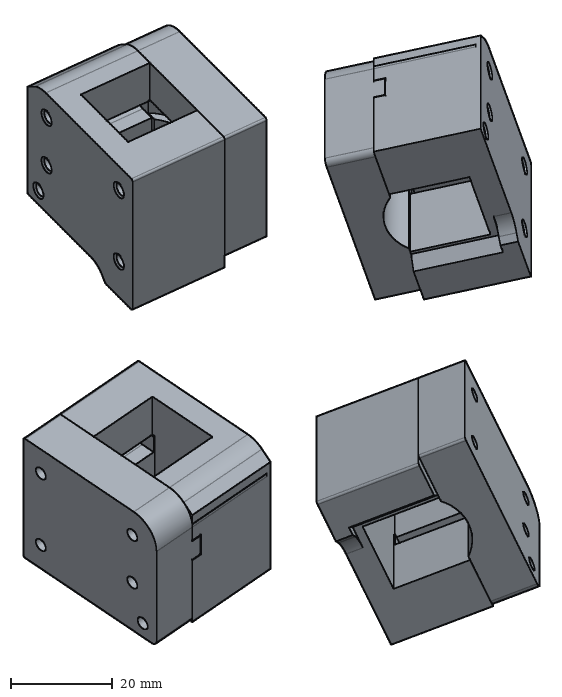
import cadquery as cq
import math

WIDTH = 36.83
DEPTH = 31.75
HEIGHT = 34.9
FRONT_DEPTH = 21.8
BASE_Z = 3.15

CORNER_R = 6.37
CORNER_FLAT_X = 2.43
RIGHT_EDGE_R = 0.48
COVER_EDGE_R = 1.3

FOOT_START_X = 22.3
FOOT_TIP_X = 27.25
FOOT_ARC_R = 4.97
FOOT_ARC_ANGLE = 50.0
FOOT_FRONT_DEPTH = 3.6
RELIEF_TOP_X = FOOT_TIP_X
RELIEF_TIP_X = 29.1

GROOVE_FRONT_Y = 1.03
GROOVE_HEIGHT = 0.65

WINDOW_LEFT_X = 10.68
WINDOW_RIGHT_X = 27.25
WINDOW_FRONT_Y = 5.45
LEDGE_WIDTH = 0.65
CHAMBER_LEFT_X = 6.25
CHAMBER_RIGHT_X = 31.67
CHAMBER_FRONT_Y = 5.8
CHAMBER_FLOOR_R = 1.85
CHAMBER_TOP_Z = 24.82
CHAMBER_FLOOR_Z = 20.77

BORE_X = (WINDOW_LEFT_X + WINDOW_RIGHT_X) / 2
BORE_Y = 15.55
COUNTERBORE_R = 10.9
BORE_R = 9.2
RECESS_TOP_Z = 24.97
COUNTERBORE_FLOOR_Z = 21.03

TAB_LENGTH = 2.3
TAB_BOTTOM_Z = 19.78
TAB_TOP_Z = 24.7
TAB_GAP = 0.15

HOLE_D = 2.75
COUNTERSINK_D = 3.57
HOLES = [(6.7, 28.5), (32.0, 28.5), (6.7, 15.85), (32.0, 9.45), (3.83, 6.85)]


def box(x0, x1, y0, y1, z0, z1):
    """Box between two opposite corners."""
    return cq.Workplane("XY").box(x1 - x0, y1 - y0, z1 - z0, centered=False).translate((x0, y0, z0))


def extrude_y(profile, y0, y1):
    """Extrude a profile, drawn in X and Z on the XZ plane, from y0 to y1."""
    return profile.extrude(-(y1 - y0)).translate((0, y0, 0))


def corner_point(angle):
    """Point of the corner rounding at an angle in radians, measured from +X."""
    return (
        CORNER_R + CORNER_R * math.cos(angle),
        HEIGHT - CORNER_R + CORNER_R * math.sin(angle),
    )


def housing_block():
    """Front block with its tangent corner flat and its foot."""
    flat_angle = math.acos((CORNER_FLAT_X - CORNER_R) / CORNER_R)
    flat_top = corner_point(flat_angle)
    flat_drop = CORNER_FLAT_X / -math.tan(flat_angle)
    arc_middle = corner_point((flat_angle + math.pi / 2) / 2)

    def foot_point(degrees):
        turn = math.radians(degrees)
        x = FOOT_START_X + FOOT_ARC_R * math.sin(turn)
        return x, BASE_Z - FOOT_ARC_R * (1 - math.cos(turn))

    profile = (
        cq.Workplane("XZ")
        .moveTo(0, BASE_Z)
        .lineTo(0, flat_top[1] - flat_drop)
        .lineTo(*flat_top)
        .threePointArc(arc_middle, (CORNER_R, HEIGHT))
        .lineTo(WIDTH, HEIGHT)
        .lineTo(WIDTH, 0)
        .lineTo(FOOT_TIP_X, 0)
        .lineTo(*foot_point(FOOT_ARC_ANGLE))
        .threePointArc(foot_point(FOOT_ARC_ANGLE / 2), (FOOT_START_X, BASE_Z))
        .close()
    )
    block = extrude_y(profile, 0, FRONT_DEPTH)
    return block.edges("|Y and >X").fillet(RIGHT_EDGE_R)


def foot_relief():
    """Space that sets the foot back behind its front stretch."""
    profile = cq.Workplane("XZ").polyline(
        [(FOOT_START_X, 0), (FOOT_START_X, BASE_Z), (RELIEF_TOP_X, BASE_Z), (RELIEF_TIP_X, 0)]
    ).close()
    return extrude_y(profile, FOOT_FRONT_DEPTH, FRONT_DEPTH)


def corner_groove():
    """Sliver outside the corner rounding, just above its tangent line."""
    tangent_z = HEIGHT - CORNER_R
    strip = box(0, CORNER_R, GROOVE_FRONT_Y, FRONT_DEPTH, tangent_z, tangent_z + GROOVE_HEIGHT)
    rounding = extrude_y(
        cq.Workplane("XZ").center(CORNER_R, tangent_z).circle(CORNER_R), 0, FRONT_DEPTH
    )
    return strip.cut(rounding)


def window_spaces():
    """Window from the top, wide chamber, and passage through the bottom."""
    window = box(
        WINDOW_LEFT_X, WINDOW_RIGHT_X, WINDOW_FRONT_Y, FRONT_DEPTH, CHAMBER_TOP_Z, HEIGHT
    )
    chamber = box(
        CHAMBER_LEFT_X, CHAMBER_RIGHT_X, CHAMBER_FRONT_Y, FRONT_DEPTH, CHAMBER_FLOOR_Z, CHAMBER_TOP_Z
    )
    chamber = chamber.edges("|Y and <Z").fillet(CHAMBER_FLOOR_R)
    passage = box(
        WINDOW_LEFT_X + LEDGE_WIDTH, WINDOW_RIGHT_X - LEDGE_WIDTH,
        WINDOW_FRONT_Y, FRONT_DEPTH, 0, CHAMBER_TOP_Z,
    )
    return window.union(chamber).union(passage)


def tab_block(gap):
    """Tab shape, grown by a gap on its three fitting sides."""
    return box(
        0, CHAMBER_LEFT_X, FRONT_DEPTH - TAB_LENGTH - gap, FRONT_DEPTH,
        TAB_BOTTOM_Z - gap, TAB_TOP_Z + gap,
    )


def screw_holes():
    """Straight holes through both bodies."""
    return extrude_y(cq.Workplane("XZ").pushPoints(HOLES).circle(HOLE_D / 2), 0, DEPTH)


def countersinks():
    """45 degree countersinks on the front face."""
    outer_r = COUNTERSINK_D / 2
    inner_r = HOLE_D / 2
    cones = [
        cq.Solid.makeCone(outer_r, inner_r, outer_r - inner_r, cq.Vector(x, 0, z), cq.Vector(0, 1, 0))
        for x, z in HOLES
    ]
    return cq.Workplane("XY").newObject([cq.Compound.makeCompound(cones)])


def make_housing():
    body = housing_block().cut(foot_relief()).cut(corner_groove())
    body = body.cut(window_spaces()).cut(tab_block(TAB_GAP))
    return body.cut(screw_holes()).cut(countersinks())


def cover_recess():
    """Stepped round recess that continues the housing's chamber."""
    def bore(radius, bottom_z):
        disc = cq.Workplane("XY").workplane(offset=bottom_z).center(BORE_X, BORE_Y).circle(radius)
        return disc.extrude(RECESS_TOP_Z - bottom_z)

    return bore(COUNTERBORE_R, COUNTERBORE_FLOOR_Z).union(bore(BORE_R, BASE_Z))


def make_cover():
    body = box(0, WIDTH, FRONT_DEPTH, DEPTH, BASE_Z, HEIGHT)
    body = body.edges("|Y and <X and >Z").fillet(CORNER_R)
    body = body.edges("|Y and <X and <Z").fillet(COVER_EDGE_R)
    body = body.edges("|Y and >X").fillet(RIGHT_EDGE_R)
    body = body.cut(cover_recess()).cut(screw_holes())
    return body.union(tab_block(0))


housing = make_housing()
cover = make_cover()

result = cq.Compound.makeCompound([housing.solids().val(), cover.solids().val()])